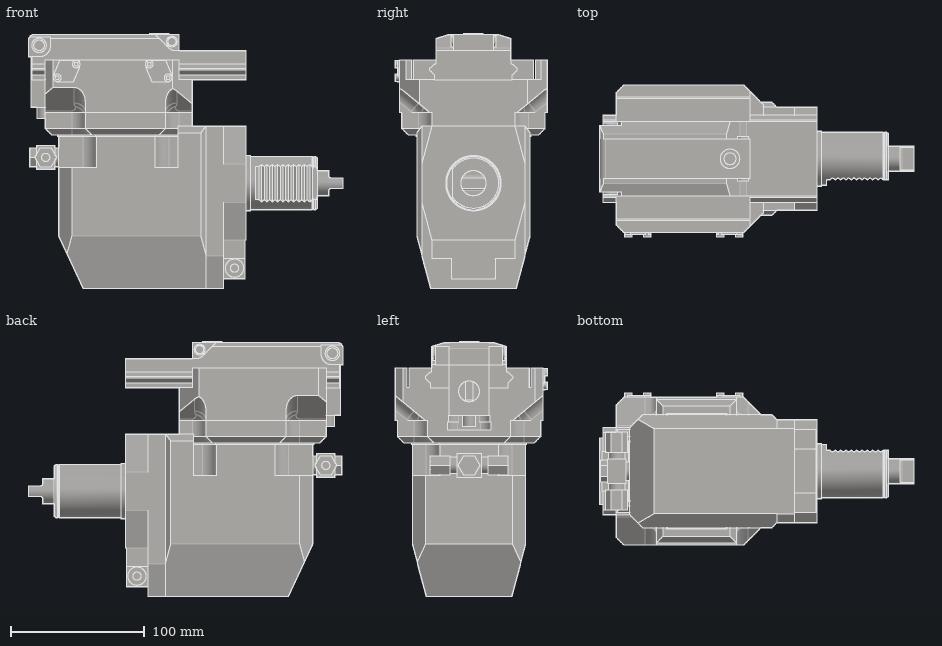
import cadquery as cq

overlap = 2.4

shank_radius = 20.0
shank_end = 53.0
shank_edge = 1.2
ring_groove_x = 49.8
ring_groove_size = 0.7
collar_radius = 20.7
collar_length = 3.0
rack_start = 7.0
rack_flat = 15.7
tooth_count = 10
tooth_pitch = 4.0
tooth_depth = 1.5
first_tooth = 11.5
tang_radius = 9.5
tang_shoulder = 61.8
tang_end = 72.4
tang_half_thickness = 4.0
tang_fillet = 1.5

housing_left = -140.0
housing_right = -33.8
housing_half_width = 42.3
housing_corner = 9.9
housing_bottom = -78.7
housing_top = 34.8
neck_margin = 0.7
shoulder_left = -50.8
shoulder_top = 42.5
shoulder_bevel = 3.8
shoulder_bevel_height = 5.0
taper_start = -39.5
taper_front = 18.3
taper_side = 10.5
housing_pocket_floor = 11.8
housing_pocket_wall = 21.9
front_pocket_end = -111.6
window_left = -68.0
pocket_radius = 10.0

flange_half_width = housing_half_width - shoulder_bevel
flange_step = -17.0
flange_narrow = 31.0
flange_taper_start = -54.5
flange_band = 14.3
flange_bevel_bottom = -42.5
lug_right = -0.7
lug_bottom = -71.5
lug_step_z = -56.2
lug_step_half_width = 16.5
lug_screw_x = -8.7
lug_screw_z = -63.5
lug_screw_radius = 6.8
lug_screw_depth = 1.2
socket_radius = 3.0
socket_depth = 3.5

carriage_left = -150.2
carriage_right = -40.2
carriage_bottom = 36.0
carriage_top = 92.1
carriage_half_width = 55.2
carriage_front_corner = 5.9
carriage_rear_corner = 14.8
carriage_ledge_x = -50.0
carriage_ledge_z = 77.5
base_half_width = 53.5
base_top = 52.6
base_bevel = 5.0
notch_left = -120.0
notch_right = -60.2
notch_wall = 31.0
notch_knee = 51.5
roof_fillet = 8.5
notch_rise = 20.0
groove_y = 45.5
groove_width = 1.2
relief_half_width = 16.2
relief_upper_half_width = 15.5
relief_step = 51.7
relief_bottom = 45.5
relief_depth = 9.5
relief_radius = 7.5

slide_left = -160.0
keel_left = -160.7
plate_half_width = 28.0
rail_half_width = 29.0
plate_top = 99.0
plate_bottom = 77.0
vee_tip = 32.7
vee_top = 89.0
vee_bottom = 80.5
vee_tip_top = 85.5
vee_tip_bottom = 84.4
keel_half_width = 14.8
keel_bottom = 56.6
bore_z = 74.5
bore_radius = 7.8
bore_bar_half_width = 2.8
bore_bar_depth = 4.7
bore_bar_bottom = 68.2
stop_pin_x = -151.3
stop_pin_radius = 5.0
stop_pin_bottom = 48.2

cover_left = -162.6
cover_top = 111.2
cover_bottom = 94.2
cover_round = 4.7
strip_right = carriage_ledge_x
strip_step = 0.2
cover_flat = 18.5
cover_eaves = 108.0
cover_slope_top = -68.0
cover_slope_fillet = 7.0
corner_screw_x = -154.6
corner_screw_z = 103.0
corner_recess_wall = 25.0
corner_recess_radius = 8.5
corner_recess_fillet = 8.0
corner_screw_radius = 5.5
corner_socket_radius = 4.0
corner_screw_height = 1.9
strip_screw_x = -55.5
strip_screw_z = 105.8
strip_screw_radius = 4.0
strip_socket_radius = 3.0
strip_screw_height = 1.9
cap_x = -65.0
cap_radius = 7.3
cap_hole_radius = 4.5
cap_top = 111.9
cap_hole_depth = 1.0

side_plate_thickness = 1.5
side_plate_top = 91.5
side_plate_outline = [
    (-139.4, side_plate_top), (-143.5, 81.3), (-143.5, 78.0), (-141.5, 75.7),
    (-129.0, 75.7), (-124.3, 86.7), (-124.3, side_plate_top),
]
side_plate_mirror = -99.6
side_screw_places = ((-141.0, 78.7), (-127.0, 88.8))
side_screw_radius = 2.8
side_screw_face = -58.5
side_socket_radius = 1.5
side_socket_depth = 1.5

fitting_x = -149.7
fitting_z = 19.3
fitting_half_length = 6.8
fitting_half_width = 9.2
fitting_half_height = 9.0
hex_corner_radius = 8.2
nut_inner = 14.0
nut_outer = 29.1
nut_hole_depth = 7.0
fitting_neck_radius = 6.0
fitting_stem_radius = 7.0
plug_left = -161.7


def block(x, y, z):
    """Box given by its (low, high) limits along each axis."""
    size = [high - low for low, high in (x, y, z)]
    return cq.Workplane("XY").box(*size, centered=False).translate((x[0], y[0], z[0]))


def prism(plane, points, start, end):
    """Polygon on a named plane, extruded between two positions along the plane's normal."""
    return cq.Workplane(plane).workplane(offset=start).polyline(points).close().extrude(end - start)


def rod_x(radius, start, end, z=0.0):
    return cq.Workplane("YZ").workplane(offset=start).center(0, z).circle(radius).extrude(end - start)


def rod_y(radius, start, end, x, z):
    """Round bar along Y; the XZ plane's normal points to -Y, so the offset is negated."""
    return cq.Workplane("XZ").workplane(offset=-start).center(x, z).circle(radius).extrude(start - end)


def hex_points(radius):
    half = radius / 2
    flat = radius * 3 ** 0.5 / 2
    return [(radius, 0), (half, flat), (-half, flat), (-radius, 0), (-half, -flat), (half, -flat)]


def both_sides(solid):
    return solid.union(solid.mirror("XZ"))


def round_cross(cross, bar_x, arm_half_width):
    """Round the four inner corners of a cross-shaped layer."""
    corners = cq.selectors.BoxSelector(
        (bar_x[0] - overlap, -arm_half_width - overlap, housing_bottom),
        (bar_x[1] + overlap, arm_half_width + overlap, cover_top),
    )
    return cross.edges("|Z").edges(corners).fillet(pocket_radius)


def make_shank():
    shank = rod_x(shank_radius, 0, shank_end).faces(">X").chamfer(shank_edge)
    reach = 2 * shank_radius
    shank = shank.cut(block((rack_start, shank_end), (-reach, -rack_flat), (-reach, reach)))
    half_pitch = tooth_pitch / 2
    for index in range(tooth_count):
        x = first_tooth + index * tooth_pitch
        valley = [
            (x - half_pitch, -rack_flat),
            (x, -rack_flat + tooth_depth),
            (x + half_pitch, -rack_flat),
        ]
        shank = shank.cut(prism("XY", valley, -reach, reach))
    ring_groove = [
        (ring_groove_x - ring_groove_size, shank_radius), (ring_groove_x, shank_radius - ring_groove_size),
        (ring_groove_x + ring_groove_size, shank_radius),
    ]
    ring = cq.Workplane("XY").polyline(ring_groove).close().revolve(360, (0, 0, 0), (1, 0, 0))
    shank = shank.cut(ring)
    shank = shank.union(rod_x(collar_radius, 0, collar_length))

    tang = rod_x(tang_radius, shank_end - overlap, tang_end)
    flat_cut = block((tang_shoulder, tang_end), (-reach, reach), (tang_half_thickness, reach))
    flat_cut = flat_cut.edges("|Y and <X and <Z").fillet(tang_fillet)
    tang = tang.cut(flat_cut).cut(flat_cut.mirror("XY"))
    return shank.union(tang)


def make_taper(left, top, half_width):
    """Material removed below `top` from the front and both sides of the lower housing."""
    front = [
        (housing_left, taper_start), (housing_left + taper_front, housing_bottom),
        (housing_left, housing_bottom),
    ]
    side_slope = taper_side / (taper_start - housing_bottom)
    foot = half_width - side_slope * (top - housing_bottom)
    side = [(half_width, top), (foot, housing_bottom), (half_width, housing_bottom)]
    taper = prism("XZ", front, -half_width, half_width)
    return taper.union(both_sides(prism("YZ", side, left, 0)))


def make_neck():
    """Thin layer between housing and carriage, slightly proud of the housing."""
    neck_z = (housing_top, carriage_bottom)
    narrow = housing_pocket_wall + neck_margin
    wide = housing_half_width + neck_margin
    neck = block((housing_left - neck_margin, shoulder_left), (-narrow, narrow), neck_z)
    crossbar_x = (front_pocket_end - neck_margin, window_left + neck_margin)
    neck = neck.union(block(crossbar_x, (-wide, wide), neck_z))
    return round_cross(neck, crossbar_x, narrow)


def make_housing():
    width = housing_half_width
    corner_y = width - housing_corner
    corner_x = housing_left + housing_corner
    outline = [
        (housing_left, -corner_y), (corner_x, -width), (shoulder_left, -width),
        (shoulder_left, width), (corner_x, width), (housing_left, corner_y),
    ]
    housing = prism("XY", outline, housing_bottom, housing_top)
    housing = housing.cut(make_taper(housing_left, taper_start, width))

    shoulder_right = housing_right + shoulder_bevel
    shoulder = block((shoulder_left, shoulder_right), (-width, width), (housing_bottom, shoulder_top))
    shoulder = shoulder.faces(">X").edges("|Z").chamfer(shoulder_bevel)
    for side in (1, -1):
        bevel = [
            (side * width, shoulder_top), (side * flange_half_width, shoulder_top),
            (side * width, shoulder_top - shoulder_bevel_height),
        ]
        shoulder = shoulder.cut(prism("YZ", bevel, shoulder_left, 0))
    shoulder = shoulder.cut(make_taper(housing_left, taper_start, width))
    housing = housing.union(shoulder)

    pocket_z = (housing_pocket_floor, housing_top)
    pocket_y = (housing_pocket_wall, width)
    corner_pocket = block((housing_left, front_pocket_end), pocket_y, pocket_z)
    corner_pocket = corner_pocket.edges("|Z and >X and <Y").fillet(pocket_radius)
    window = block((window_left, shoulder_left), pocket_y, pocket_z)
    window = window.edges("|Z and <X and <Y").fillet(pocket_radius)
    return housing.cut(both_sides(corner_pocket)).cut(both_sides(window))


def make_flange():
    wide = flange_half_width
    narrow = flange_narrow
    back_left = housing_right + shoulder_bevel
    back = block((back_left, flange_step), (-wide, wide), (housing_bottom, shoulder_top))
    back = back.cut(make_taper(back_left, flange_taper_start, wide))
    half_face = [
        (narrow, shoulder_top), (wide, flange_band), (wide, -flange_band), (narrow, flange_bevel_bottom),
    ]
    face = half_face + [(-y, z) for y, z in reversed(half_face)]
    flange = back.union(prism("YZ", face, flange_step, 0))
    lug = block((flange_step, lug_right), (-narrow, narrow), (lug_step_z, flange_bevel_bottom))
    screw_face = lug_step_half_width
    lug = lug.union(block((flange_step, lug_right), (-screw_face, screw_face), (lug_bottom, lug_step_z)))
    screw_floor = screw_face - lug_screw_depth
    recess = rod_y(lug_screw_radius, screw_floor, screw_face, lug_screw_x, lug_screw_z)
    socket = rod_y(socket_radius, screw_floor - socket_depth, screw_face, lug_screw_x, lug_screw_z)
    return flange.union(lug.cut(both_sides(recess.union(socket))))


def make_notch(start, end, inner_face):
    """Corner notch of the carriage: upright wall, then a roof rising outward; rounded at its inner end."""
    roof_run = carriage_half_width - notch_wall
    outer = notch_wall + 2 * roof_run
    profile = [
        (notch_wall, carriage_bottom), (notch_wall, notch_knee),
        (outer, notch_knee + 2 * notch_rise), (outer, carriage_bottom),
    ]
    notch = prism("YZ", profile, start, end)
    notch = notch.faces(inner_face).edges("<Y").fillet(pocket_radius)
    roof = notch.faces(inner_face).edges("not(#Y or >Y)")
    return both_sides(roof.fillet(roof_fillet))


def make_carriage():
    wide = carriage_half_width
    front = carriage_left + carriage_front_corner
    front_y = wide - carriage_front_corner
    rear = carriage_right - carriage_rear_corner
    rear_y = wide - carriage_rear_corner
    half_outline = [(carriage_left, front_y), (front, wide), (rear, wide), (carriage_right, rear_y)]
    outline = half_outline + [(x, -y) for x, y in reversed(half_outline)]
    upper = prism("XY", outline, base_top, carriage_top)
    upper_z = (carriage_ledge_z, carriage_top)
    upper = upper.cut(block((carriage_ledge_x, carriage_right), (-wide, wide), upper_z))
    upper = upper.cut(make_notch(carriage_left, notch_left, ">X"))
    upper = upper.cut(make_notch(notch_right, carriage_right, "<X"))
    groove = block(
        (carriage_left, carriage_right),
        (groove_y - groove_width / 2, groove_y + groove_width / 2),
        upper_z,
    )
    upper = upper.cut(both_sides(groove))

    base_z = (carriage_bottom, base_top)
    base = block((carriage_left, carriage_right), (-notch_wall, notch_wall), base_z)
    base = base.union(block((notch_left, notch_right), (-base_half_width, base_half_width), base_z))
    base = round_cross(base, (notch_left, notch_right), notch_wall)
    base = base.faces("<Z").chamfer(base_bevel)
    carriage = upper.union(base)

    relief_x = (carriage_left, carriage_left + relief_depth)
    relief_layers = (
        (relief_half_width, (relief_bottom, relief_step)),
        (relief_upper_half_width, (relief_step, keel_bottom)),
    )
    for half_width, layer_z in relief_layers:
        relief = block(relief_x, (-half_width, half_width), layer_z)
        carriage = carriage.cut(relief.edges("|Z and >X").fillet(relief_radius))
    return carriage


def make_slide():
    half_section = [
        (plate_half_width, plate_top), (plate_half_width, vee_top), (rail_half_width, vee_top),
        (vee_tip, vee_tip_top), (vee_tip, vee_tip_bottom),
        (rail_half_width, vee_bottom), (rail_half_width, plate_bottom),
    ]
    section = half_section + [(-y, z) for y, z in reversed(half_section)]
    slide = prism("YZ", section, slide_left, 0)
    keel = block(
        (keel_left, carriage_ledge_x), (-keel_half_width, keel_half_width), (keel_bottom, plate_top)
    )
    slide = slide.union(keel)

    bore_end = carriage_left
    slide = slide.cut(rod_x(bore_radius, keel_left, bore_end, bore_z))
    bar_y = (-bore_bar_half_width, bore_bar_half_width)
    bore_bar = block((bore_end - bore_bar_depth, bore_end), bar_y, (bore_bar_bottom, bore_z + bore_radius))
    stop_pin = cq.Workplane("XY").workplane(offset=stop_pin_bottom).circle(stop_pin_radius)
    stop_pin = stop_pin.extrude(bore_z - bore_radius - stop_pin_bottom).translate((stop_pin_x, 0, 0))
    return slide.union(bore_bar).union(stop_pin)


def make_cover():
    roof_top = cover_top - strip_step
    half_section = [
        (cover_flat, roof_top), (plate_half_width, cover_eaves), (plate_half_width, cover_bottom),
    ]
    section = half_section + [(-y, z) for y, z in reversed(half_section)]
    slope_drop = cover_top - plate_top
    slope_foot = cover_slope_top + slope_drop
    side_profile = [
        (cover_left, cover_bottom), (0, cover_bottom), (0, plate_top), (slope_foot, plate_top),
        (cover_slope_top, cover_top), (cover_left, cover_top),
    ]
    side = prism("XZ", side_profile, -plate_half_width, plate_half_width)
    foot = cq.selectors.BoxSelector(
        (slope_foot - overlap, -plate_half_width, plate_top - overlap),
        (slope_foot + overlap, plate_half_width, plate_top + overlap),
    )
    side = side.edges("|Y").edges(foot).fillet(cover_slope_fillet)
    cover = prism("YZ", section, cover_left + strip_step, 0).intersect(side)
    strip_y = (-keel_half_width, keel_half_width)
    cover = cover.union(block((cover_left, strip_right), strip_y, (cover_bottom, cover_top)))

    corner_x = cover_left + cover_round
    corner_z = cover_top - cover_round
    edge_y = (-plate_half_width, plate_half_width)
    leading_edge = block((cover_left, corner_x), edge_y, (corner_z, cover_top))
    rounding = rod_y(cover_round, -plate_half_width, plate_half_width, corner_x, corner_z)
    cover = cover.cut(leading_edge.cut(rounding))

    strip_face = keel_half_width + strip_screw_height
    strip_head = rod_y(strip_screw_radius, keel_half_width, strip_face, strip_screw_x, strip_screw_z)
    strip_socket = rod_y(strip_socket_radius, keel_half_width, strip_face, strip_screw_x, strip_screw_z)
    cover = cover.union(both_sides(strip_head.cut(strip_socket)))

    cap = cq.Workplane("XY").workplane(offset=plate_top).center(cap_x, 0).circle(cap_radius)
    cap = cap.extrude(cap_top - plate_top)
    cap_hole = cq.Workplane("XY").workplane(offset=cap_top - cap_hole_depth).center(cap_x, 0)
    return cover.union(cap).cut(cap_hole.circle(cap_hole_radius).extrude(cap_hole_depth))


def make_corner_recesses():
    """Open recesses around the two leading corner screws, cut into cover and slide."""
    recess_y = (corner_recess_wall, plate_half_width)
    recess_right = corner_screw_x + corner_recess_radius
    recess_floor = corner_screw_z - corner_recess_radius
    recess = block((cover_left, recess_right), recess_y, (recess_floor, cover_top))
    recess = recess.edges("|Y and >X and <Z").fillet(corner_recess_fillet)
    overhang_end = block((cover_left, slide_left), recess_y, (cover_bottom, cover_top))
    return both_sides(recess.union(overhang_end))


def make_corner_screws():
    wall = corner_recess_wall
    face = wall + corner_screw_height
    head = rod_y(corner_screw_radius, wall, face, corner_screw_x, corner_screw_z)
    socket = rod_y(corner_socket_radius, wall, face, corner_screw_x, corner_screw_z)
    return both_sides(head.cut(socket))


def make_side_plate():
    """Small cover plate with two screws on the -Y side of the carriage."""
    plate_face = carriage_half_width + side_plate_thickness
    plate = prism("XZ", side_plate_outline, carriage_half_width - overlap, plate_face)
    socket_floor = side_screw_face + side_socket_depth
    for x, z in side_screw_places:
        plate = plate.union(rod_y(side_screw_radius, side_screw_face, overlap - carriage_half_width, x, z))
        plate = plate.cut(rod_y(side_socket_radius, side_screw_face, socket_floor, x, z))
    return plate


def make_fitting():
    hexagon = hex_points(hex_corner_radius)
    at_axis = (fitting_x, 0, fitting_z)
    body_left = fitting_x - fitting_half_length
    fitting = block(
        (body_left, fitting_x + fitting_half_length),
        (-fitting_half_width, fitting_half_width),
        (fitting_z - fitting_half_height, fitting_z + fitting_half_height),
    )
    fitting = fitting.union(rod_x(fitting_stem_radius, fitting_x, housing_left + overlap, fitting_z))
    fitting = fitting.union(rod_y(fitting_neck_radius, -nut_inner, nut_inner, fitting_x, fitting_z))
    nut = prism("XZ", hexagon, nut_inner, nut_outer).translate(at_axis)
    nut = nut.cut(rod_y(socket_radius, -nut_outer, -nut_outer + nut_hole_depth, fitting_x, fitting_z))
    plug = prism("YZ", hexagon, plug_left, fitting_x).translate((0, 0, fitting_z))
    return fitting.union(both_sides(nut)).union(plug)


housing = make_housing().union(make_flange()).union(make_neck())
covered_slide = make_slide().union(make_cover())
covered_slide = covered_slide.cut(make_corner_recesses()).union(make_corner_screws())
left_plate = make_side_plate()
right_plate = left_plate.mirror("YZ", (side_plate_mirror, 0, 0))

result = housing.union(make_shank())
result = result.union(make_carriage())
result = result.union(covered_slide)
result = result.union(left_plate).union(right_plate)
result = result.union(make_fitting())